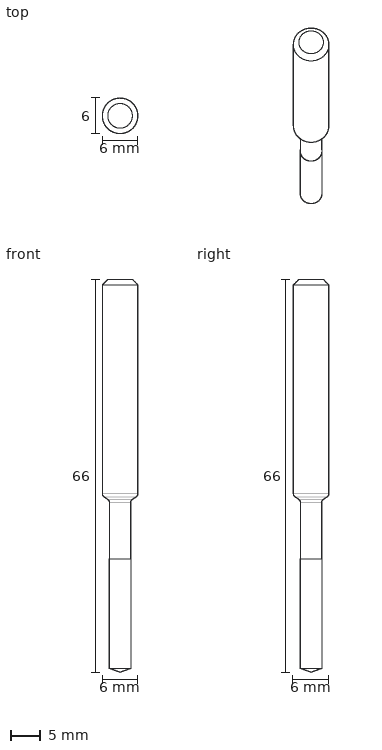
import cadquery as cq
import math

total_length = 66.0
shank_diameter = 6.0
shank_length = 36.0
shank_end_chamfer = 0.93

cutter_diameter = 3.7
cutter_length = 19.0
point_angle = 140.0

neck_diameter = 3.6
shoulder_length = 1.5
shoulder_slope = 55.0

shank_radius = shank_diameter / 2
cutter_radius = cutter_diameter / 2
neck_radius = neck_diameter / 2
point_height = cutter_radius / math.tan(math.radians(point_angle / 2))
shank_bottom = total_length - shank_length
neck_top = shank_bottom - shoulder_length

slope = math.radians(shoulder_slope)
shoulder_step = shank_radius - neck_radius
bend_radius = (shoulder_length - shoulder_step / math.tan(slope)) / (2 * math.tan(slope / 2))
bend_width = bend_radius * (1 - math.cos(slope))
bend_height = bend_radius * math.sin(slope)


def make_cutter():
    """Plain cylinder with a conical point."""
    return (
        cq.Workplane("XZ")
        .lineTo(cutter_radius, point_height)
        .lineTo(cutter_radius, cutter_length)
        .lineTo(0, cutter_length)
        .close()
        .revolve(360, (0, 0), (0, 1))
    )


def make_holder():
    """Neck and shank, joined by a conical shoulder with rounded edges, and chamfered at the free end."""
    return (
        cq.Workplane("XZ")
        .moveTo(0, cutter_length)
        .lineTo(neck_radius, cutter_length)
        .lineTo(neck_radius, neck_top)
        .tangentArcPoint((neck_radius + bend_width, neck_top + bend_height), relative=False)
        .lineTo(shank_radius - bend_width, shank_bottom - bend_height)
        .tangentArcPoint((shank_radius, shank_bottom), relative=False)
        .lineTo(shank_radius, total_length - shank_end_chamfer)
        .lineTo(shank_radius - shank_end_chamfer, total_length)
        .lineTo(0, total_length)
        .close()
        .revolve(360, (0, 0), (0, 1))
    )


cutter = make_cutter()
holder = make_holder()

result = cq.Compound.makeCompound([cutter.val(), holder.val()])